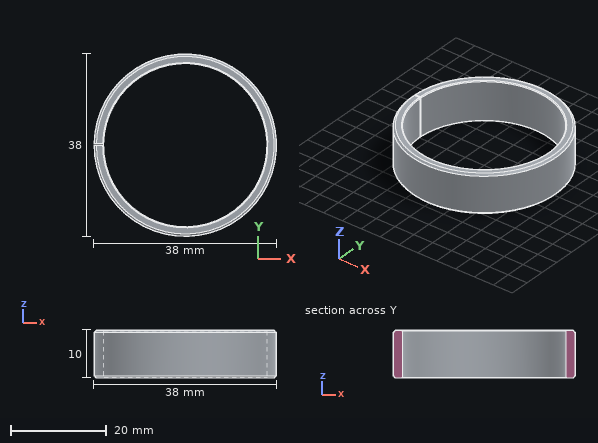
import cadquery as cq

outer_diameter = 38.0
inner_diameter = 34.0
height = 10.0
outer_chamfer = 0.5
inner_chamfer = 0.2
gap_angle = 1.0

outer_radius = outer_diameter / 2
inner_radius = inner_diameter / 2


def wall_section():
    """Wall cross-section on the -X side, with both rims chamfered inside and out."""
    rim_inner = inner_radius + inner_chamfer
    rim_outer = outer_radius - outer_chamfer
    outline = [
        (-inner_radius, inner_chamfer),
        (-rim_inner, 0),
        (-rim_outer, 0),
        (-outer_radius, outer_chamfer),
        (-outer_radius, height - outer_chamfer),
        (-rim_outer, height),
        (-rim_inner, height),
        (-inner_radius, height - inner_chamfer),
    ]
    return cq.Workplane("XZ").polyline(outline).close()


def split_ring():
    """Sweep the wall counter-clockwise from -X, leaving a wedge gap just above the X axis."""
    axis_start = (0, 0)
    axis_end = (0, 1)
    return wall_section().revolve(360 - gap_angle, axis_start, axis_end)


result = split_ring()